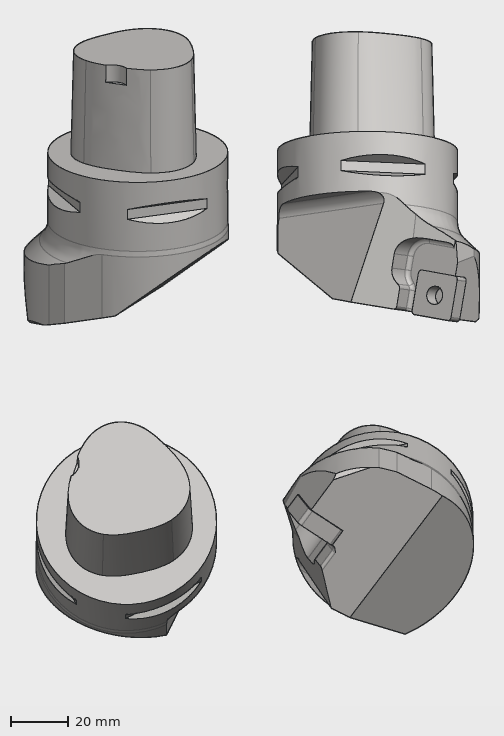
import cadquery as cq
import math


shank_length = 38.0
shank_mean_radius = 21.8
shank_taper_inset = 0.9
lobe_height = 1.6
lobe_half_angle = 25
lobe_directions = (90, 210, 330)
points_per_stretch = 9

notch_radius = 5.5
notch_axis_y = -23.1
notch_depth = 6.3

flange_diameter = 63.0
flange_radius = flange_diameter / 2
flange_bottom_z = -25.6
groove_floor_distance = 27.7
groove_middle_z = -11.9
groove_floor_width = 3.6
groove_mouth_width = 7.5

head_radius = 31.7
head_left_x = -39.3
head_arc_start = (head_left_x, -8.1)
head_arc_middle = (-30.8, -23.4)
head_arc_end = (-20.8, -30.3)
head_flat_start_x = -14.3
shoulder_radius = 10.0
shoulder_angle = 45
shoulder_reach = 20.6
head_floor_z = -77.2

insert_side = 15.9
insert_thickness = 6.4
insert_corner_radius = 1.3
insert_hole_diameter = 6.4
insert_corner = (-34.8, 0, -65.3)
approach_angle = 15
rake_angle = 6

side_relief_inset = 1.0
end_relief_inset = 0.8
heel_flat_point = (-32.8, -18.7, -62.0)
heel_flat_normal = (-0.29, -0.56, -0.78)
back_flat_point = (0, 0, -55.8)
back_flat_normal = (0.83, -0.06, -1)
chip_flat_point = (-26.9, 16.5, -25.8)
chip_flat_normal = (-0.66, 0.7, -0.27)
lead_flat_point = (-39.3, 3.0, -37.8)
lead_flat_normal = (-0.56, 0.79, -0.26)
rear_flat_y = 21.8
rear_shelf_z = -21.4
rear_fillet = 4.0

pocket_near_wall = 17.4
pocket_far_wall = 20.4
pocket_step_start = 8.2
pocket_step_end = 14.9
pocket_top = 27.0
pocket_corner_radius = 7.0
pocket_floor_fillet = 1.5
pocket_lip_radius = 1.0
pocket_overrun = 25.8
pocket_height = 30.9

half_space_size = 206


def shank_point(angle, mean_radius, z):
    radius = mean_radius - lobe_height * math.sin(math.radians(3 * angle))
    return cq.Vector(
        radius * math.cos(math.radians(angle)), radius * math.sin(math.radians(angle)), z
    )


def shank_direction(angle, mean_radius):
    """Tangent of the shank outline."""
    turn = math.radians(angle)
    radius = mean_radius - lobe_height * math.sin(3 * turn)
    growth = -3 * lobe_height * math.cos(3 * turn)
    return cq.Vector(
        growth * math.cos(turn) - radius * math.sin(turn),
        growth * math.sin(turn) + radius * math.cos(turn),
        0,
    )


def shank_outline(mean_radius, z):
    """Closed outline of six stretches: a lobe and a flank in turn."""
    breaks = []
    for direction in lobe_directions:
        breaks += [direction - lobe_half_angle, direction + lobe_half_angle]
    breaks.append(breaks[0] + 360)
    stretches = []
    for start, end in zip(breaks, breaks[1:]):
        step = (end - start) / (points_per_stretch - 1)
        points = [shank_point(start + i * step, mean_radius, z) for i in range(points_per_stretch)]
        tangents = [shank_direction(start, mean_radius), shank_direction(end, mean_radius)]
        stretches.append(cq.Edge.makeSpline(points, tangents=tangents))
    return cq.Wire.assembleEdges(stretches)


def make_shank():
    base = shank_outline(shank_mean_radius, 0)
    tip = shank_outline(shank_mean_radius - shank_taper_inset, shank_length)
    notch = (
        cq.Workplane("XY", origin=(0, notch_axis_y, shank_length - notch_depth))
        .circle(notch_radius)
        .extrude(notch_depth)
    )
    return cq.Workplane(cq.Solid.makeLoft([base, tip])).cut(notch)


def make_flange():
    flange = cq.Workplane("XY").circle(flange_radius).extrude(flange_bottom_z)
    depth = flange_radius - groove_floor_distance
    groove = (
        cq.Workplane("XZ", origin=(0, 0, groove_middle_z))
        .moveTo(groove_floor_distance, groove_floor_width / 2)
        .lineTo(groove_floor_distance + 2 * depth, groove_mouth_width - groove_floor_width / 2)
        .lineTo(groove_floor_distance + 2 * depth, groove_floor_width / 2 - groove_mouth_width)
        .lineTo(groove_floor_distance, -groove_floor_width / 2)
        .close()
        .extrude(flange_radius, both=True)
    )
    for angle in (45, 135, 225, 315):
        flange = flange.cut(groove.rotate((0, 0, 0), (0, 0, 1), angle))
    return flange


def make_head_blank():
    """Plan outline of the cutting end, trimmed by the revolved shoulder."""
    plan = (
        cq.Workplane("XY", origin=(0, 0, flange_bottom_z))
        .moveTo(*head_arc_start)
        .threePointArc(head_arc_middle, head_arc_end)
        .lineTo(head_flat_start_x, -head_radius)
        .lineTo(0, -head_radius)
        .threePointArc((head_radius, 0), (0, head_radius))
        .lineTo(head_left_x, head_radius)
        .close()
        .extrude(head_floor_z - flange_bottom_z)
    )
    half_bend = math.radians(shoulder_angle / 2)
    full_bend = math.radians(shoulder_angle)
    arc_centre_r = flange_radius + shoulder_radius
    arc_middle = (
        arc_centre_r - shoulder_radius * math.cos(half_bend),
        flange_bottom_z - shoulder_radius * math.sin(half_bend),
    )
    arc_end_r = arc_centre_r - shoulder_radius * math.cos(full_bend)
    arc_end_z = flange_bottom_z - shoulder_radius * math.sin(full_bend)
    cone_end_r = arc_end_r + shoulder_reach
    cone_end_z = arc_end_z - shoulder_reach / math.tan(full_bend)
    shoulder = (
        cq.Workplane("XZ")
        .moveTo(0, flange_bottom_z)
        .lineTo(flange_radius, flange_bottom_z)
        .threePointArc(arc_middle, (arc_end_r, arc_end_z))
        .lineTo(cone_end_r, cone_end_z)
        .lineTo(cone_end_r, head_floor_z)
        .lineTo(0, head_floor_z)
        .close()
        .revolve(360, (0, 0, 0), (0, 1, 0))
    )
    return plan.intersect(shoulder)


def insert_frame():
    """Frame at the cutting corner: x and y along the cutting edges, z into the insert."""
    tilt = math.tan(math.radians(rake_angle))
    along_x = math.cos(math.radians(approach_angle))
    along_z = math.sin(math.radians(approach_angle))
    edge = cq.Vector(along_x, tilt, along_z)
    into_insert = cq.Vector(tilt * (along_x - along_z), -1, tilt * (along_x + along_z))
    return cq.Plane(insert_corner, edge, into_insert)


def half_space(point, outward):
    """Everything beyond the plane through a point, on the side the normal points to."""
    plane = cq.Plane(point, normal=outward)
    return cq.Workplane(plane).rect(half_space_size, half_space_size).extrude(half_space_size / 2)


def make_rear_cut():
    """Space behind the rear flat and under its shelf."""
    height = rear_shelf_z - head_floor_z
    return (
        cq.Workplane("XY", origin=(0, rear_flat_y, head_floor_z))
        .box(half_space_size, half_space_size / 2, height, centered=(True, False, False))
        .edges("|X and <Y and >Z")
        .fillet(rear_fillet)
    )


def make_chip_cut(frame):
    """Chip space in front of two shallow-angled flats, never deeper than the rake plane."""
    return (
        half_space(chip_flat_point, chip_flat_normal)
        .intersect(half_space(lead_flat_point, lead_flat_normal))
        .intersect(half_space(frame.origin, -frame.zDir))
    )


def make_chip_pocket(frame):
    """Pocket above the rake plane, with a stepped side wall and a filleted floor."""
    step_width = pocket_far_wall - pocket_near_wall
    step_length = pocket_step_end - pocket_step_start
    step_turn = 2 * math.atan(step_width / step_length)
    convex_radius = step_length / math.sin(step_turn) - pocket_corner_radius

    convex_centre = pocket_near_wall + convex_radius
    concave_centre = pocket_far_wall - pocket_corner_radius
    convex_middle = (
        convex_centre - convex_radius * math.cos(step_turn / 2),
        pocket_step_start + convex_radius * math.sin(step_turn / 2),
    )
    step_joint = (
        convex_centre - convex_radius * math.cos(step_turn),
        pocket_step_start + convex_radius * math.sin(step_turn),
    )
    concave_middle = (
        concave_centre + pocket_corner_radius * math.cos(step_turn / 2),
        pocket_step_end - pocket_corner_radius * math.sin(step_turn / 2),
    )
    corner_start = pocket_top - pocket_corner_radius
    corner_middle = (
        concave_centre + pocket_corner_radius * math.sqrt(0.5),
        corner_start + pocket_corner_radius * math.sqrt(0.5),
    )
    lip_centre_x = pocket_near_wall + pocket_lip_radius
    lip_centre_y = end_relief_inset + pocket_lip_radius
    lip_middle = (
        lip_centre_x - pocket_lip_radius * math.sqrt(0.5),
        lip_centre_y - pocket_lip_radius * math.sqrt(0.5),
    )
    return (
        cq.Workplane(frame)
        .moveTo(-pocket_overrun, -pocket_overrun)
        .lineTo(lip_centre_x, -pocket_overrun)
        .lineTo(lip_centre_x, end_relief_inset)
        .threePointArc(lip_middle, (pocket_near_wall, lip_centre_y))
        .lineTo(pocket_near_wall, pocket_step_start)
        .threePointArc(convex_middle, step_joint)
        .threePointArc(concave_middle, (pocket_far_wall, pocket_step_end))
        .lineTo(pocket_far_wall, corner_start)
        .threePointArc(corner_middle, (concave_centre, pocket_top))
        .lineTo(-pocket_overrun, pocket_top)
        .close()
        .extrude(-pocket_height)
        .faces(cq.selectors.DirectionMinMaxSelector(frame.zDir))
        .edges()
        .fillet(pocket_floor_fillet)
    )


def make_insert_blank(frame):
    """Square insert without its hole."""
    return (
        cq.Workplane(frame)
        .rect(insert_side, insert_side, centered=False)
        .extrude(insert_thickness)
        .edges(cq.selectors.ParallelDirSelector(frame.zDir))
        .fillet(insert_corner_radius)
    )


def make_insert(frame):
    middle = insert_side / 2
    hole = (
        cq.Workplane(frame)
        .center(middle, middle)
        .circle(insert_hole_diameter / 2)
        .extrude(insert_thickness)
    )
    return make_insert_blank(frame).cut(hole)


def make_holder(frame):
    side_relief = half_space(frame.toWorldCoords((side_relief_inset, 0, 0)), -frame.xDir)
    end_relief = half_space(frame.toWorldCoords((0, end_relief_inset, 0)), -frame.yDir)
    head = (
        make_head_blank()
        .cut(side_relief)
        .cut(end_relief)
        .cut(half_space(heel_flat_point, heel_flat_normal))
        .cut(half_space(back_flat_point, back_flat_normal))
    )
    return (
        make_flange()
        .union(head)
        .cut(make_chip_cut(frame))
        .cut(make_rear_cut())
        .cut(make_chip_pocket(frame))
        .cut(make_insert_blank(frame))
        .union(make_shank())
    )


seat_frame = insert_frame()
holder = make_holder(seat_frame)
insert = make_insert(seat_frame)

result = cq.Compound.makeCompound([holder.solids().val(), insert.solids().val()])